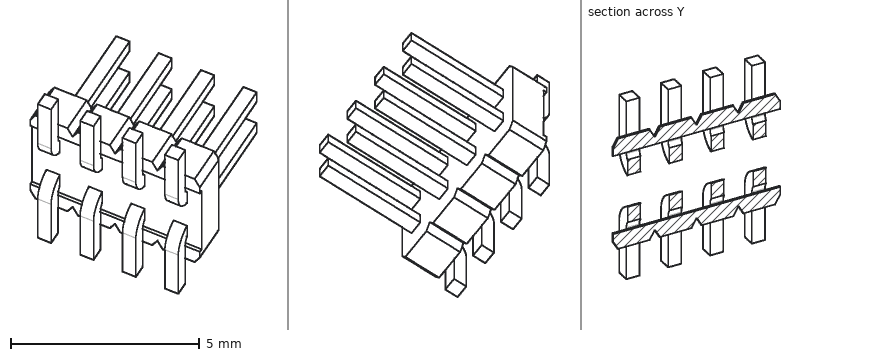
import cadquery as cq
import math


pin_count = 4
pitch = 1.27
row_offset = pitch / 2
pin_x_positions = [(i - (pin_count - 1) / 2) * pitch for i in range(pin_count)]

housing_length = pin_count * pitch
housing_height = 3.42
housing_depth = 1.1
recess_depth = 0.1
recess_height = 2.4
notch_half_width = 0.155
notch_flank_angle = 30.0
notch_depth = notch_half_width / math.tan(math.radians(notch_flank_angle))

pin_size = 0.4
pin_length = 3.0
leg_tip_height = 2.75
bend_inner_radius = 0.31
bend_outer_radius = bend_inner_radius + pin_size


def make_housing():
    """Block with V-notches between pins, half notches at its corners and a front recess."""
    block = cq.Workplane("XY").box(housing_length, housing_depth, housing_height)
    block = block.translate((0, -housing_depth / 2, 0))
    edge = housing_height / 2

    for i in range(pin_count + 1):
        notch_x = i * pitch - housing_length / 2
        for side in (1, -1):
            notch = (
                cq.Workplane("XZ")
                .moveTo(notch_x - notch_half_width, side * edge)
                .lineTo(notch_x + notch_half_width, side * edge)
                .lineTo(notch_x, side * (edge - notch_depth))
                .close()
                .extrude(housing_depth)
            )
            block = block.cut(notch)

    recess = cq.Workplane("XY").box(housing_length, recess_depth, recess_height)
    return block.cut(recess.translate((0, recess_depth / 2 - housing_depth, 0)))


def make_upper_pin(pin_x):
    """Square pin running along Y through the housing, then bent up against its front face."""
    tip_y = pin_length
    leg_inner_y = -housing_depth
    leg_outer_y = leg_inner_y - pin_size
    pin_bottom = row_offset - pin_size / 2
    pin_top = row_offset + pin_size / 2
    bend_y = leg_inner_y + bend_inner_radius
    bend_z = pin_top + bend_inner_radius
    diagonal = math.sqrt(0.5)

    return (
        cq.Workplane("YZ", origin=(pin_x, 0, 0))
        .moveTo(tip_y, pin_bottom)
        .lineTo(bend_y, pin_bottom)
        .threePointArc(
            (bend_y - bend_outer_radius * diagonal, bend_z - bend_outer_radius * diagonal),
            (leg_outer_y, bend_z),
        )
        .lineTo(leg_outer_y, leg_tip_height)
        .lineTo(leg_inner_y, leg_tip_height)
        .lineTo(leg_inner_y, bend_z)
        .threePointArc(
            (bend_y - bend_inner_radius * diagonal, bend_z - bend_inner_radius * diagonal),
            (bend_y, pin_top),
        )
        .lineTo(tip_y, pin_top)
        .close()
        .extrude(pin_size / 2, both=True)
    )


result = make_housing()
for x in pin_x_positions:
    upper_pin = make_upper_pin(x)
    lower_pin = upper_pin.mirror("XY")
    result = result.union(upper_pin).union(lower_pin)